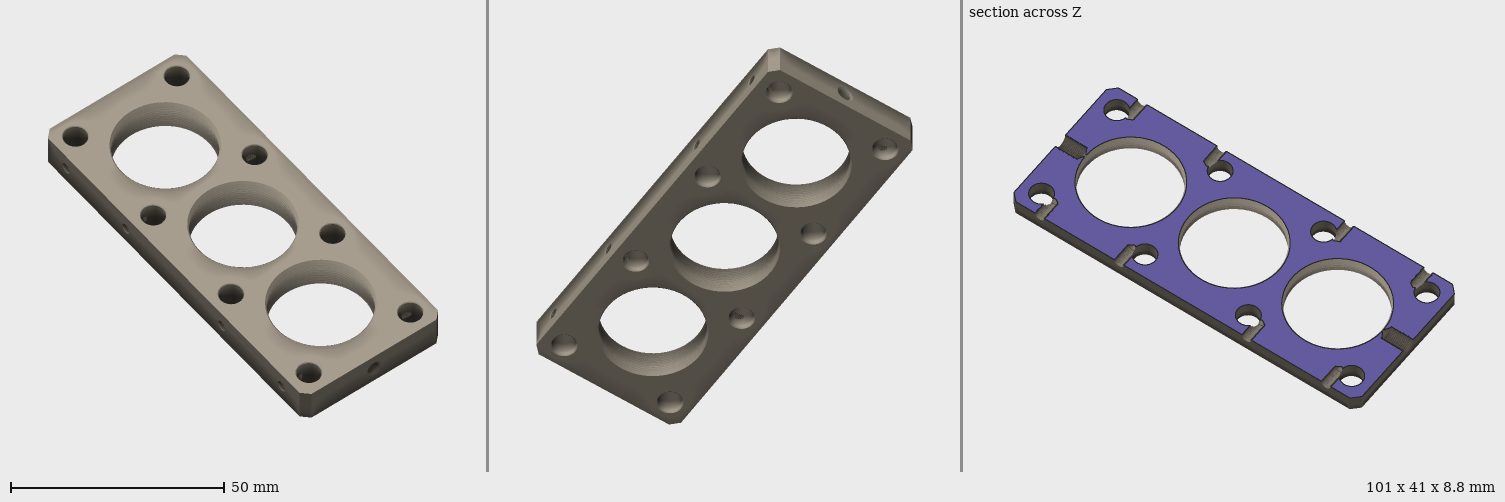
import cadquery as cq
import math

length = 101.0
width = 41.0
thickness = 8.8
corner_chamfer = 2.0

bore_pitch = 30.0
bore_count = 3
bore_minor_diameter = 25.6
bore_major_diameter = 26.2
bore_thread_pitch = 0.64

rod_hole_rows = 2
rod_hole_diameter = 6.0
rod_hole_mouth_diameter = 6.4

set_screw_offset = 11.5
set_screw_minor_diameter = 2.2
set_screw_major_diameter = 2.8
set_screw_depth = 5.6
set_screw_thread_pitch = 0.4

mount_minor_diameter = 3.3
mount_major_diameter = 4.2
mount_depth = 6.4
mount_thread_pitch = 0.5

drill_tip_angle = 118.0


def threaded_profile(minor_diameter, major_diameter, nominal_pitch, depth):
    """Half section (radius, depth) of ring-shaped V threads, a whole number of them over the depth."""
    minor_radius = minor_diameter / 2
    major_radius = major_diameter / 2
    turns = round(depth / nominal_pitch)
    pitch = depth / turns
    profile = [(0, 0), (major_radius, 0)]
    for turn in range(turns):
        profile.append((minor_radius, (turn + 0.5) * pitch))
        profile.append((major_radius, (turn + 1) * pitch))
    return profile


def revolve_cutter(profile):
    """Solid of revolution about Z from a closed (radius, depth) profile."""
    return cq.Workplane("XZ").polyline(profile).close().revolve(360, (0, 0, 0), (0, 1, 0))


def through_thread(minor_diameter, major_diameter, nominal_pitch, depth):
    """Cutter along +Z for a threaded through hole."""
    profile = threaded_profile(minor_diameter, major_diameter, nominal_pitch, depth)
    return revolve_cutter(profile + [(0, depth)])


def blind_thread(minor_diameter, major_diameter, nominal_pitch, depth):
    """Cutter along +Z for a threaded blind hole ending in a drill-tip cone."""
    minor_radius = minor_diameter / 2
    tip_height = minor_radius / math.tan(math.radians(drill_tip_angle / 2))
    profile = threaded_profile(minor_diameter, major_diameter, nominal_pitch, depth)
    return revolve_cutter(profile + [(minor_radius, depth), (0, depth + tip_height)])


plate = cq.Workplane("XY").box(length, width, thickness).edges("|Z").chamfer(corner_chamfer)

rod_holes = (
    cq.Workplane("XY", origin=(0, 0, -thickness / 2))
    .rarray(bore_pitch, bore_pitch, bore_count + 1, rod_hole_rows)
    .circle(rod_hole_diameter / 2)
    .extrude(thickness)
)
plate = plate.cut(rod_holes)
mouth_chamfer = (rod_hole_mouth_diameter - rod_hole_diameter) / 2
plate = plate.faces("<Z or >Z").edges("%CIRCLE").chamfer(mouth_chamfer)

bore = through_thread(bore_minor_diameter, bore_major_diameter, bore_thread_pitch, thickness)
for index in range(bore_count):
    bore_x = (index - (bore_count - 1) / 2) * bore_pitch
    plate = plate.cut(bore.translate((bore_x, 0, -thickness / 2)))

set_screw = blind_thread(
    set_screw_minor_diameter, set_screw_major_diameter, set_screw_thread_pitch, set_screw_depth
)
set_screw = set_screw.rotate((0, 0, 0), (1, 0, 0), -90)
outer_bore_x = (bore_count - 1) / 2 * bore_pitch
for bore_x in (-outer_bore_x, outer_bore_x):
    for side in (-1, 1):
        front_screw = set_screw.translate((bore_x + side * set_screw_offset, -width / 2, 0))
        plate = plate.cut(front_screw).cut(front_screw.mirror("XZ"))

mount = blind_thread(mount_minor_diameter, mount_major_diameter, mount_thread_pitch, mount_depth)
left_mount = mount.rotate((0, 0, 0), (0, 1, 0), 90).translate((-length / 2, 0, 0))
plate = plate.cut(left_mount).cut(left_mount.mirror("YZ"))

result = plate